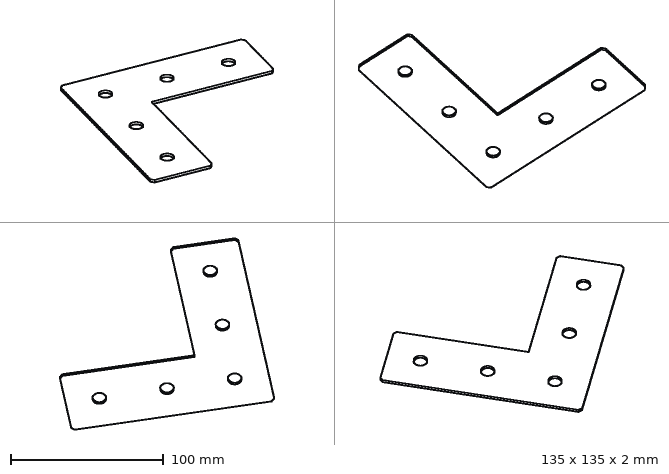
import cadquery as cq

side = 135.0
thickness = 2.0
corner_cut = 2.0
hole_diameter = 9.0

modules_per_leg = 3
leg_width = side / modules_per_leg


def corner_plate():
    """L-shaped plate with its outer corner at the origin."""
    outline = [
        (0, 0),
        (side, 0),
        (side, leg_width),
        (leg_width, leg_width),
        (leg_width, side),
        (0, side),
    ]
    plate = cq.Workplane("XY").polyline(outline).close().extrude(thickness)
    inner_corner = cq.selectors.NearestToPointSelector((leg_width, leg_width, thickness / 2))
    outer_corners = cq.selectors.SubtractSelector(cq.selectors.StringSyntaxSelector("|Z"), inner_corner)
    return plate.edges(outer_corners).chamfer(corner_cut)


def hole_centres():
    """Module centres along both legs, sharing the corner module."""
    first = leg_width / 2
    along_x = [(first + i * leg_width, first) for i in range(modules_per_leg)]
    along_y = [(first, first + i * leg_width) for i in range(1, modules_per_leg)]
    return along_x + along_y


holes = cq.Workplane("XY").pushPoints(hole_centres()).circle(hole_diameter / 2).extrude(thickness)
result = corner_plate().cut(holes)